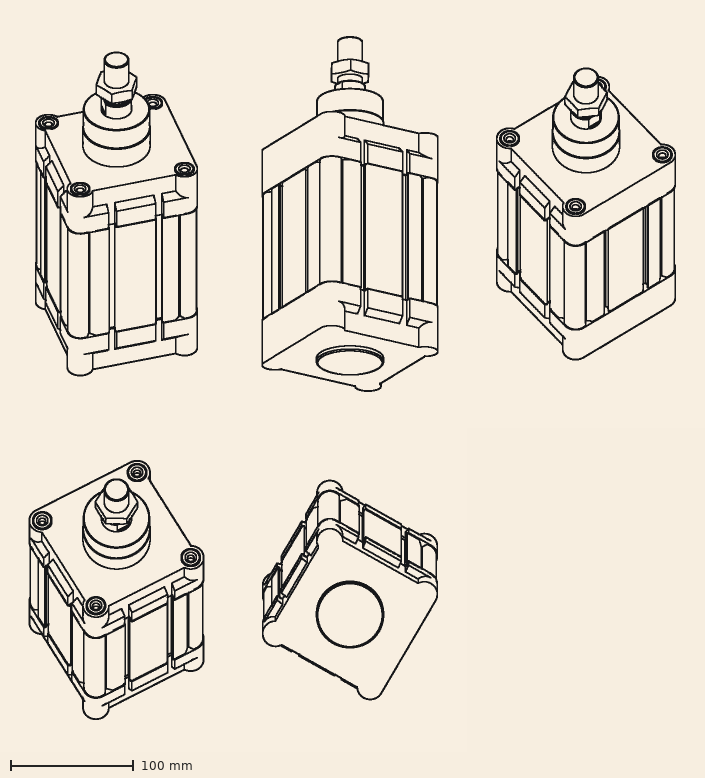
import cadquery as cq
import math

foot_height = 4.0
cap_height = 39.0
top_cap_base = 153.0
top_cap_top = top_cap_base + cap_height
base_cap_top = foot_height + cap_height
collar_step = 211.7
collar_top = 230.6
rod_shoulder = 243.7
rod_top = 283.0

cap_side = 110.0
corner_offset = 44.5
boss_radius = cap_side / 2 - corner_offset
pad_depth = 5.0
pad_height = 17.0
slot_offset = 20.0
pad_gap = 6.8

tube_side = 108.7
tube_radius = tube_side / 2 - corner_offset
mouth_width = 5.0
lip_depth = 1.5
undercut_width = 8.0
undercut_depth = 6.2
groove_start = 34.0
groove_depth = 4.0
groove_floor = 1.0
groove_end = 41.5
tube_edge_radius = 0.8

collar_diameter = 55.0
collar_neck_diameter = 54.0
collar_edge = 0.5
collar_ledge = 0.8
spigot_edge = 1.0

screw_diameter = 15.8
screw_edge = 0.8
socket_diameter = 6.0
socket_mouth_diameter = 9.3
socket_depth = 7.0

rod_diameter = 25.0
thread_diameter = 20.0
thread_edge = 0.8
shoulder_edge = 0.8
wrench_width = 22.0
wrench_base = 232.3

nut_width = 30.0
nut_height = 10.8
nut_base = 250.0
nut_chamfer_angle = 15

corners = [(x, y) for x in (-corner_offset, corner_offset) for y in (-corner_offset, corner_offset)]


def disc(diameter, base, height):
    return cq.Workplane("XY").workplane(offset=base).circle(diameter / 2).extrude(height)


def rounded_square(side, radius, base, height):
    block = cq.Workplane("XY").workplane(offset=base).rect(side, side).extrude(height)
    return block.edges("|Z").fillet(radius)


def turned(shape, angle):
    return shape.rotate((0, 0, 0), (0, 0, 1), angle)


def cap_head_outline():
    """Cap section clear of the pads: walls set back on three sides, full round corner bosses."""
    half = cap_side / 2
    wall = half - pad_depth
    reach = math.sqrt(boss_radius**2 - (wall - corner_offset) ** 2)
    inner = corner_offset - reach
    tip = corner_offset + boss_radius * math.sqrt(0.5)
    return (
        cq.Workplane("XY")
        .moveTo(-corner_offset, half)
        .lineTo(corner_offset, half)
        .threePointArc((half, corner_offset), (wall, inner))
        .lineTo(wall, -inner)
        .threePointArc((tip, -tip), (inner, -wall))
        .lineTo(-inner, -wall)
        .threePointArc((-tip, -tip), (-wall, -inner))
        .lineTo(-wall, inner)
        .threePointArc((-half, corner_offset), (-corner_offset, half))
        .close()
    )


def pad_band():
    """Unbroken band of pads on the -Y wall with a sloped top, ending inside the corner bosses."""
    face = -cap_side / 2
    wall = face + pad_depth
    outline = [(face, 0), (face, pad_height), (wall, pad_height + pad_depth), (wall, 0)]
    return cq.Workplane("YZ").polyline(outline).close().extrude(corner_offset, both=True)


def pad_gaps():
    """Cutter for the two gaps between the pads of the -Y wall."""
    return (
        cq.Workplane("XY")
        .pushPoints([(x, -cap_side / 2 + pad_depth / 2) for x in (-slot_offset, slot_offset)])
        .rect(pad_gap, pad_depth)
        .extrude(pad_height + pad_depth)
    )


def cap():
    """End cap on Z = 0 with its pads at the bottom; the +Y wall is plain."""
    body = cap_head_outline().extrude(cap_height)
    for angle in (-90, 0, 90):
        body = body.union(turned(pad_band(), angle)).cut(turned(pad_gaps(), angle))
    return body


def screw_recesses():
    """Bevel ring round each flush screw head and its socket, as one cutter in the top cap."""
    screw_radius = screw_diameter / 2
    socket_radius = socket_diameter / 2
    mouth_radius = socket_mouth_diameter / 2
    bevel = (
        cq.Workplane("XZ")
        .moveTo(screw_radius, 0)
        .lineTo(screw_radius - screw_edge, 0)
        .lineTo(screw_radius, -screw_edge)
        .close()
        .revolve(360, (0, 0), (0, 1))
    )
    socket = (
        cq.Workplane("XZ")
        .moveTo(0, 0)
        .lineTo(mouth_radius, 0)
        .lineTo(socket_radius, socket_radius - mouth_radius)
        .lineTo(socket_radius, -socket_depth)
        .lineTo(0, -socket_depth)
        .close()
        .revolve(360, (0, 0), (0, 1))
    )
    single = bevel.union(socket)
    cutters = [single.translate((x, y, top_cap_top)).val() for x, y in corners]
    return cq.Workplane("XY").newObject(cutters).combine()


def tube_face_cutter(length):
    """T-slots and corner grooves of the -Y face of the tube, starting at Z = 0."""
    face = -tube_side / 2
    t_slots = (
        cq.Workplane("XY")
        .pushPoints([(x, face + undercut_depth / 2) for x in (-slot_offset, slot_offset)])
        .rect(mouth_width, undercut_depth)
        .extrude(length)
    )
    undercut_middle = face + (lip_depth + undercut_depth) / 2
    undercuts = (
        cq.Workplane("XY")
        .pushPoints([(x, undercut_middle) for x in (-slot_offset, slot_offset)])
        .rect(undercut_width, undercut_depth - lip_depth)
        .extrude(length)
    )
    groove = (
        cq.Workplane("XY")
        .moveTo(groove_start, face)
        .lineTo(groove_start + groove_depth, face + groove_depth)
        .lineTo(groove_start + groove_depth + groove_floor, face + groove_depth)
        .lineTo(groove_end, face)
        .close()
        .extrude(length)
    )
    return t_slots.union(undercuts).union(groove).union(groove.mirror("YZ"))


def is_face_edge(edge, offsets):
    """True for an edge on an outer face of the tube at one of the offsets from its middle."""
    middle = edge.Center()
    along, out = sorted((abs(middle.x), abs(middle.y)))
    on_face = math.isclose(out, tube_side / 2, abs_tol=0.003)
    return on_face and any(math.isclose(along, offset, abs_tol=0.003) for offset in offsets)


def tube():
    length = top_cap_base - base_cap_top
    body = rounded_square(tube_side, tube_radius, 0, length)
    for angle in (0, 90, 180, 270):
        body = body.cut(turned(tube_face_cutter(length), angle))
    inner_mouth = slot_offset - mouth_width / 2
    rounded = body.edges("|Z").filter(
        lambda edge: is_face_edge(edge, (inner_mouth, groove_start, groove_end))
    )
    return rounded.fillet(tube_edge_radius).translate((0, 0, base_cap_top))


def collar():
    lower = disc(collar_diameter, top_cap_top, collar_step - top_cap_top)
    upper = disc(collar_neck_diameter, collar_step, collar_top - collar_step)
    lower = lower.faces(">Z").chamfer(collar_ledge, (collar_diameter - collar_neck_diameter) / 2)
    return lower.union(upper.faces(">Z").chamfer(collar_edge))


def make_housing():
    top_cap = cap().translate((0, 0, top_cap_base))
    base_cap = cap().mirror("XY").translate((0, 0, base_cap_top))
    spigot = disc(collar_diameter, 0, foot_height).faces("<Z").edges().chamfer(spigot_edge)
    rod_hole = disc(rod_diameter, top_cap_base, collar_top - top_cap_base)
    body = base_cap.union(tube()).union(top_cap).union(collar()).union(spigot)
    return body.cut(screw_recesses()).cut(rod_hole)


def make_piston_rod():
    """Rod standing on the floor of its hole, with two wrench flats and a threaded end."""
    shank = disc(rod_diameter, top_cap_base, rod_shoulder - top_cap_base)
    shank = shank.faces(">Z").chamfer(shoulder_edge)
    thread = disc(thread_diameter, rod_shoulder, rod_top - rod_shoulder)
    thread = thread.faces(">Z").chamfer(thread_edge)
    flat_height = rod_shoulder - wrench_base
    flat_stock = cq.Workplane("XY").workplane(offset=wrench_base)
    flats = (
        flat_stock.rect(rod_diameter, 2 * rod_diameter)
        .rect(rod_diameter, wrench_width)
        .extrude(flat_height)
    )
    return shank.cut(flats).union(thread)


def make_nut():
    """Hexagon nut with its corners bevelled at both ends."""
    corner_diameter = nut_width / math.cos(math.radians(30))
    flat_radius = nut_width / 2
    corner_radius = corner_diameter / 2
    bevel = (corner_radius - flat_radius) * math.tan(math.radians(nut_chamfer_angle))
    hexagon = cq.Workplane("XY").polygon(6, corner_diameter).extrude(nut_height)
    envelope = (
        cq.Workplane("XZ")
        .moveTo(0, 0)
        .lineTo(flat_radius, 0)
        .lineTo(corner_radius, bevel)
        .lineTo(corner_radius, nut_height - bevel)
        .lineTo(flat_radius, nut_height)
        .lineTo(0, nut_height)
        .close()
        .revolve(360, (0, 0), (0, 1))
    )
    blank = turned(hexagon, 90).intersect(envelope).translate((0, 0, nut_base))
    return blank.cut(disc(thread_diameter, nut_base, nut_height))


housing = make_housing()
piston_rod = make_piston_rod()
nut = make_nut()

result = cq.Compound.makeCompound([housing.val(), piston_rod.val(), nut.val()])